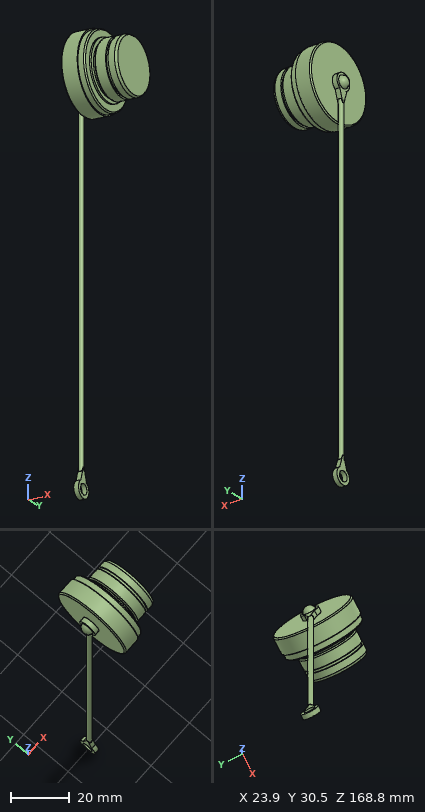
import cadquery as cq
import math


cap_radius = 15.27
cap_length = 6.5
cap_chamfer = 0.5
step_radius = cap_radius - 0.5
step_end = 9.3
step_chamfer = 0.5
collar_radius = 11.6
collar_end = 10.0
neck_radius = 10.1
plug_start = 10.8
plug_radius = 11.1
plug_end = 19.9
plug_chamfer = 0.5
tip_chamfer_length = 1.0
groove_start = 15.4
groove_width = 1.0
groove_depth = 0.7

rivet_radius = 2.5
rivet_head_height = 2.0

total_height = 168.8
cord_diameter = 2.0
lug_radius = 3.46
lug_hole_radius = 2.0
lug_thickness = cord_diameter
cord_end_offset = 6.4
lug_tip_offset = 8.0
lug_tip_half_width = 0.3
taper_root_offset = 2.9
lower_lug_z = cap_radius - total_height + lug_radius


def make_cap():
    """Revolve the stepped cap and its grooved plug about the X axis."""
    groove_end = groove_start + groove_width
    profile = [
        (0, 0),
        (0, cap_radius - cap_chamfer),
        (cap_chamfer, cap_radius),
        (cap_length, cap_radius),
        (cap_length, step_radius),
        (step_end - step_chamfer, step_radius),
        (step_end, step_radius - step_chamfer),
        (step_end, collar_radius),
        (collar_end, collar_radius),
        (collar_end, neck_radius),
        (plug_start, neck_radius),
        (plug_start, plug_radius - plug_chamfer),
        (plug_start + plug_chamfer, plug_radius),
        (groove_start, plug_radius),
        (groove_start, plug_radius - groove_depth),
        (groove_end, plug_radius - groove_depth),
        (groove_end, plug_radius),
        (plug_end - tip_chamfer_length, plug_radius),
        (plug_end, plug_radius - plug_chamfer),
        (plug_end, 0),
    ]
    return cq.Workplane("XY").polyline(profile).close().revolve(360, (0, 0, 0), (1, 0, 0))


def make_rivet():
    """Shank through the upper lug, closed by a domed head."""
    head_base = -lug_thickness
    head_tip = head_base - rivet_head_height
    dome_radius = (rivet_radius**2 + rivet_head_height**2) / (2 * rivet_head_height)
    dome_center = head_tip + dome_radius
    sweep = math.atan2(rivet_radius, dome_center - head_base)
    arc_middle = (
        dome_center - dome_radius * math.cos(sweep / 2),
        dome_radius * math.sin(sweep / 2),
    )
    return (
        cq.Workplane("XY")
        .moveTo(cap_length, 0)
        .lineTo(cap_length, rivet_radius)
        .lineTo(head_base, rivet_radius)
        .threePointArc(arc_middle, (head_tip, 0))
        .close()
        .revolve(360, (0, 0, 0), (1, 0, 0))
    )


def make_lug(center_z, direction):
    """Ring with a neck tapering along Z; direction is the sign of that taper."""
    taper_root_half_width = math.sqrt(lug_radius**2 - taper_root_offset**2)
    root_z = direction * taper_root_offset
    tip_z = direction * lug_tip_offset
    plane = cq.Workplane("YZ", origin=(-lug_thickness, 0, center_z))
    ring = plane.circle(lug_radius).extrude(lug_thickness)
    neck = (
        plane.polyline(
            [
                (-taper_root_half_width, root_z),
                (-lug_tip_half_width, tip_z),
                (lug_tip_half_width, tip_z),
                (taper_root_half_width, root_z),
            ]
        )
        .close()
        .extrude(lug_thickness)
    )
    hole = plane.circle(lug_hole_radius).extrude(lug_thickness)
    return ring.union(neck).cut(hole)


def make_cord():
    """Round cord running between the two lugs."""
    top_z = -cord_end_offset
    bottom_z = lower_lug_z + cord_end_offset
    return (
        cq.Workplane("XY", origin=(-lug_thickness / 2, 0, bottom_z))
        .circle(cord_diameter / 2)
        .extrude(top_z - bottom_z)
    )


upper_lug = make_lug(0, -1)
lower_lug = make_lug(lower_lug_z, 1)
result = make_cap().union(make_rivet()).union(upper_lug).union(lower_lug).union(make_cord())